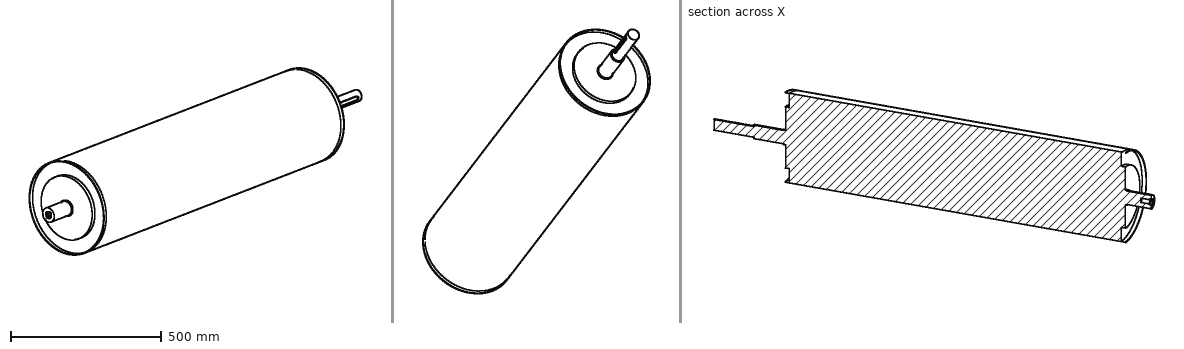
import cadquery as cq
import math

total_length = 1610.0
front_journal_length = 95.0
drum_length = 1253.0
rear_spigot_length = 147.0

drum_diameter = 324.0
shell_bore = 319.0
end_recess_depth = 15.0
hub_diameter = 220.0
hub_height = 15.0

collar_diameter = 55.0
collar_projection = 5.0
journal_diameter = 50.0
spigot_diameter = 40.0

keyway_width = 13.8
keyway_depth = 5.0
keyway_length = 113.0
keyway_end_gap = 16.0

centre_mouth_diameter = 24.0
centre_pilot_diameter = 18.0
centre_core_diameter = 13.8
centre_cone_angle = 60
centre_pilot_depth = 10.0
centre_core_depth = 39.0

front_end = -total_length / 2
rear_end = total_length / 2
drum_front = front_end + front_journal_length
drum_rear = drum_front + drum_length
spigot_start = rear_end - rear_spigot_length


def cylinder(diameter, y_start, y_end):
    """Solid cylinder on the Y axis between two positions."""
    axis = cq.Vector(0, 1, 0)
    start = cq.Vector(0, y_start, 0)
    return cq.Workplane(cq.Solid.makeCylinder(diameter / 2, y_end - y_start, start, axis))


def make_drum():
    drum = cylinder(drum_diameter, drum_front, drum_rear)
    disc_front = drum_front + end_recess_depth
    disc_rear = drum_rear - end_recess_depth
    drum = drum.cut(cylinder(shell_bore, drum_front, disc_front))
    drum = drum.cut(cylinder(shell_bore, disc_rear, drum_rear))
    return drum.union(cylinder(hub_diameter, disc_front - hub_height, disc_rear + hub_height))


def make_shaft():
    shaft = cylinder(journal_diameter, front_end, spigot_start)
    collar_front = drum_front - collar_projection
    collar_rear = drum_rear + collar_projection
    shaft = shaft.union(cylinder(collar_diameter, collar_front, collar_rear))
    return shaft.union(cylinder(spigot_diameter, spigot_start, rear_end))


def make_centre_hole():
    mouth_radius = centre_mouth_diameter / 2
    pilot_radius = centre_pilot_diameter / 2
    cone_depth = (mouth_radius - pilot_radius) / math.tan(math.radians(centre_cone_angle / 2))
    start = cq.Vector(0, front_end, 0)
    cone = cq.Solid.makeCone(mouth_radius, pilot_radius, cone_depth, start, cq.Vector(0, 1, 0))
    pilot = cylinder(centre_pilot_diameter, front_end, front_end + centre_pilot_depth)
    core = cylinder(centre_core_diameter, front_end, front_end + centre_core_depth)
    return core.union(pilot).union(cq.Workplane(cone))


def make_keyway():
    floor_x = spigot_diameter / 2 - keyway_depth
    centre_y = rear_end - keyway_end_gap - keyway_length / 2
    floor = cq.Workplane("YZ", origin=(floor_x, centre_y, 0))
    return floor.slot2D(keyway_length, keyway_width).extrude(spigot_diameter / 2)


result = make_drum().union(make_shaft()).cut(make_centre_hole()).cut(make_keyway())